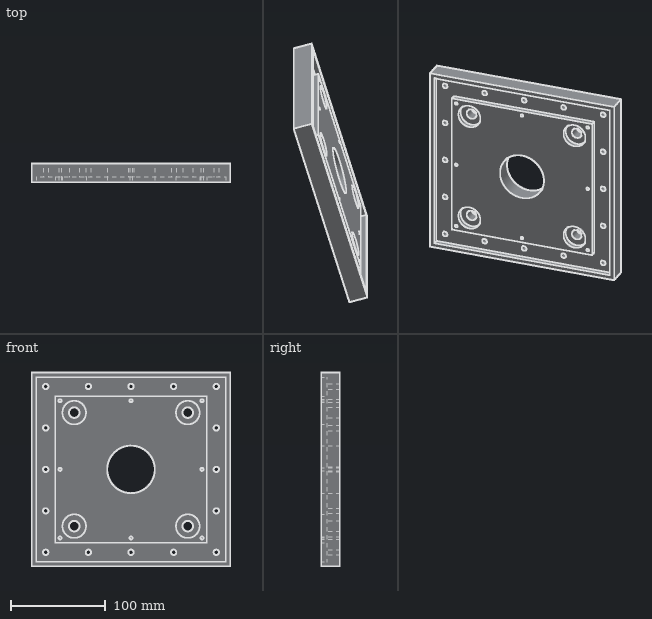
import cadquery as cq

WIDTH = 210.0
THICKNESS = 20.0
HEIGHT = 205.0
FRONT_Y = -THICKNESS / 2

RIM_WIDTH = 5.0
CHANNEL_WIDTH = 20.0
CHANNEL_DEPTH = 6.0
PANEL_INSET = RIM_WIDTH + CHANNEL_WIDTH

BORE_DIAMETER = 50.0
CHANNEL_HOLE_DIAMETER = 5.5
CHANNEL_HOLE_INSET = 15.0
PANEL_HOLE_DIAMETER = 3.0
PANEL_HOLE_INSET = 30.0
MOUNT_SPACING = 120.0
MOUNT_HOLE_DIAMETER = 11.0
COUNTERBORE_DIAMETER = 25.0
COUNTERBORE_DEPTH = 6.0


def front_block(inset, depth):
    """Block behind the front face, inset equally from all four plate edges."""
    return cq.Workplane("XY").box(WIDTH - 2 * inset, depth, HEIGHT - 2 * inset).translate(
        (0, FRONT_Y + depth / 2, 0)
    )


def front_cylinders(points, diameter, depth):
    """Cylinders running from the front face into the plate."""
    front = cq.Workplane("XZ", origin=(0, FRONT_Y, 0))
    return front.pushPoints(points).circle(diameter / 2).extrude(-depth)


def border_points(inset, intervals):
    """Evenly spaced points around a rectangle inset from the plate edges."""
    step_x = (WIDTH - 2 * inset) / intervals
    step_z = (HEIGHT - 2 * inset) / intervals
    ends = (0, intervals)
    return [
        ((i - intervals / 2) * step_x, (j - intervals / 2) * step_z)
        for i in range(intervals + 1)
        for j in range(intervals + 1)
        if i in ends or j in ends
    ]


plate = front_block(0, THICKNESS)
channel = front_block(RIM_WIDTH, CHANNEL_DEPTH).cut(front_block(PANEL_INSET, CHANNEL_DEPTH))
plate = plate.cut(channel)

plate = plate.cut(front_cylinders([(0, 0)], BORE_DIAMETER, THICKNESS))
channel_holes = border_points(CHANNEL_HOLE_INSET, 4)
plate = plate.cut(front_cylinders(channel_holes, CHANNEL_HOLE_DIAMETER, THICKNESS))
panel_holes = border_points(PANEL_HOLE_INSET, 2)
plate = plate.cut(front_cylinders(panel_holes, PANEL_HOLE_DIAMETER, THICKNESS))

mount_offset = MOUNT_SPACING / 2
mounts = [(x, z) for x in (-mount_offset, mount_offset) for z in (-mount_offset, mount_offset)]
plate = plate.cut(front_cylinders(mounts, MOUNT_HOLE_DIAMETER, THICKNESS))
plate = plate.cut(front_cylinders(mounts, COUNTERBORE_DIAMETER, COUNTERBORE_DEPTH))

result = plate